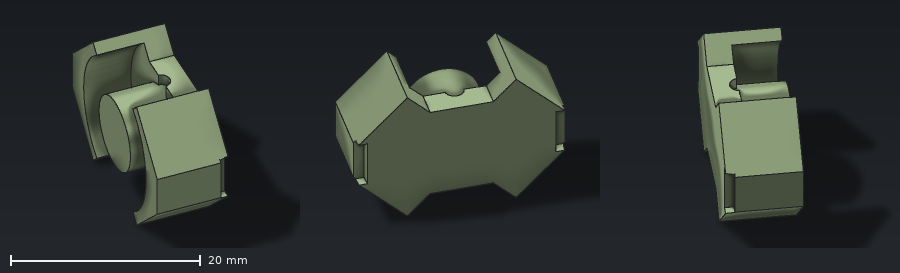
import cadquery as cq
import math

length = 23.2
depth = 8.25
height = 15.98

end_flat_height = 4.69
waist_height = 11.0

floor_thickness = 2.85
cavity_diameter = 17.0
post_diameter = 8.55

groove_width = 2.05
groove_depth = 0.88

recess_length = 0.97
recess_inset = 1.15
recess_width = 5.1
recess_draft = 8.0

back_y = depth / 2
floor_y = back_y - floor_thickness


def make_blank():
    """Hexagonal-ended plate with a V-sided waist above and below."""
    tip_x = length / 2 - (height - end_flat_height) / 2
    waist_x = tip_x - (height - waist_height) / 2
    upper_right = [
        (length / 2, end_flat_height / 2),
        (tip_x, height / 2),
        (waist_x, waist_height / 2),
    ]
    upper = upper_right + [(-x, z) for x, z in reversed(upper_right)]
    lower = [(-x, -z) for x, z in upper]
    outline = cq.Workplane("XZ", origin=(0, back_y, 0)).polyline(upper + lower).close()
    return outline.extrude(depth)


def cylinder_to_front(diameter, start_y):
    """Cylinder from the given Y position to the open front face."""
    reach = start_y + depth / 2
    return cq.Workplane("XZ", origin=(0, start_y, 0)).circle(diameter / 2).extrude(reach)


def make_groove():
    """Round-bottomed cutter whose chord on the floor equals the groove width."""
    radius = (groove_width**2 / 4 + groove_depth**2) / (2 * groove_depth)
    centre_y = floor_y + groove_depth - radius
    return (
        cq.Workplane("XY", origin=(0, centre_y, -height / 2))
        .circle(radius)
        .extrude(height)
    )


def make_end_recess():
    """Cutter for the +X end, with the same draft on its inner wall and both side walls."""
    flare = recess_length * math.tan(math.radians(recess_draft))
    inner_x = length / 2 - recess_inset
    cutter_length = 2 * recess_inset
    return (
        cq.Workplane("XZ", origin=(inner_x + cutter_length / 2, back_y, 0))
        .rect(cutter_length + 2 * flare, recess_width + 2 * flare)
        .extrude(recess_length, taper=recess_draft)
    )


end_recess = make_end_recess()
result = (
    make_blank()
    .cut(cylinder_to_front(cavity_diameter, floor_y))
    .cut(make_groove())
    .union(cylinder_to_front(post_diameter, back_y))
    .cut(end_recess)
    .cut(end_recess.mirror("YZ"))
)